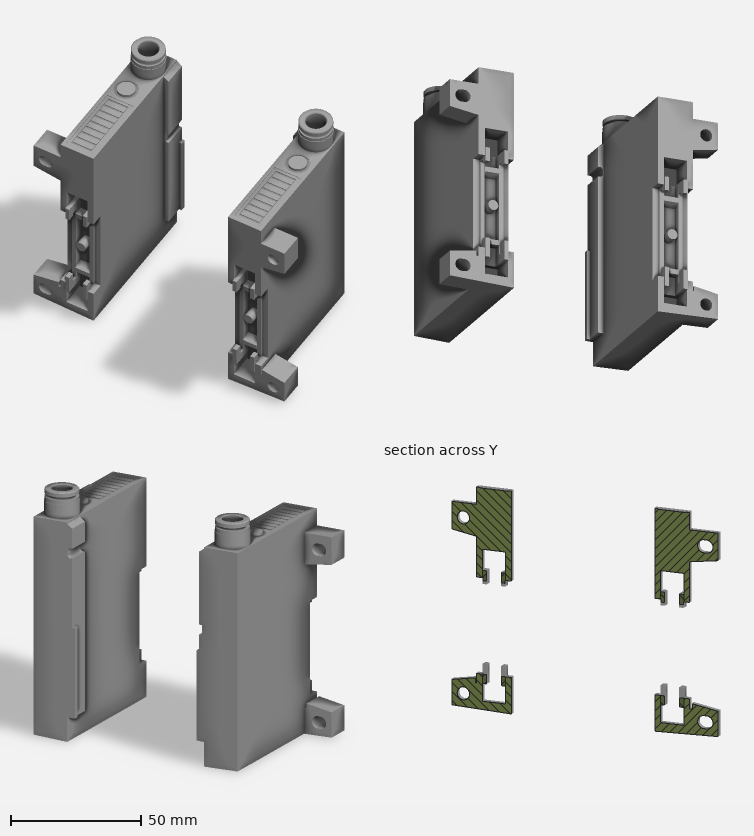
import cadquery as cq

overall_width = 112.5
left_ear_length = 12.1
right_ear_length = 10.5

housing_width = 14.8
housing_depth = 62.0
housing_height = 88.9
half_width = housing_width / 2
bottom_rise = 0.85

ear_depth = 10.0
ear_hole_diameter = 5.0
left_hole_from_tip = 5.5
right_hole_from_tip = 5.0
ear_hole_spacing = 70.0
lower_hole_z = 6.05
slotted_hole_length = 6.3
upper_ear_top = 82.0
upper_ear_tip_bottom = 70.9
upper_ear_root_bottom = 69.1
lower_ear_tip_top = 11.1
lower_ear_root_top = 12.9
ear_relief_bottom = 10.8
left_relief_width = 1.0
right_relief_width = 0.4

flange_width = 2.2
flange_depth = 9.9
flange_bottom = 10.0
flange_top = 88.4
flange_shoulder = 86.8
lip_width = 1.2
lip_depth = 2.1
lip_top = 46.6
notch_height = 4.0
square_notch_depth = 1.3
round_notch_depth = 2.05
round_notch_corner = 1.2
square_notch_z = 55.2
round_notch_z = 76.6

recess_bottom = 14.7
recess_top = 52.9
recess_depth = 5.25
channel_width = 9.6
channel_bottom = 3.9
channel_top = 64.2
channel_depth = 10.0

clip_bottom = 10.8
clip_top = 56.0
clip_floor = 2.4
clip_wall = 1.75
clip_overhang = 0.8
clip_rail_face = 4.25
hook_back = 2.0
upper_hook_tip = 50.4
upper_hook_root = 51.7
lower_hook_tip = 18.65
bar_offset = 14.25
bar_height = 3.25
bar_face_height = 2.05
bar_projection = 0.4
pin_diameter = 4.1
pin_z = 34.1
pin_tip_depth = 2.8

fitting_from_back = 9.0
button_from_back = 23.9
button_offset = 0.9
button_diameter = 7.25
button_height = 0.9
button_ring_diameter = 9.7
button_ring_depth = 0.2
panel_from_back = 45.05
panel_width, panel_length = 11.8, 30.3
panel_depth = 0.2
window_width, window_length = 9.1, 27.8
window_depth = 0.5
key_count = 8
key_pitch = 3.36
key_width, key_length = 8.6, 2.5

fitting_top = 99.3
fitting_bore_diameter = 8.2
fitting_rim_chamfer = 0.35
fitting_radii_and_tops = (
    (6.9, 94.5),
    (6.7, 96.2),
    (5.0, 97.4),
    (6.7, fitting_top),
)


def box(x_range, y_range, z_range):
    """Axis-aligned block between the given limits."""
    size = [high - low for low, high in (x_range, y_range, z_range)]
    corner = (x_range[0], y_range[0], z_range[0])
    return cq.Workplane("XY").box(*size, centered=False).translate(corner)


def front_prism(points, depth):
    """Extrude an XZ outline from the housing front toward the back."""
    return cq.Workplane("XZ").polyline(points).close().extrude(-depth)


def on_top(x, from_back, z=housing_height):
    """Sketch plane at a spot on or parallel to the top face."""
    return cq.Workplane("XY").workplane(offset=z).center(x, housing_depth - from_back)


def housing_block(ear_length):
    """Main block, rectangular except for its sloping bottom."""
    side_rise = bottom_rise * housing_width / (housing_width + ear_length)
    return front_prism(
        [
            (half_width, 0),
            (half_width, housing_height),
            (-half_width, housing_height),
            (-half_width, side_rise),
        ],
        housing_depth,
    )


def ears(ear_length, hole_from_tip, hole_length, relief_width):
    """Upper and lower ears with through holes; the lower one has a relief slit at its root."""
    root = -half_width
    tip = root - ear_length
    relief = root - relief_width
    side_rise = bottom_rise * housing_width / (housing_width + ear_length)
    upper = front_prism(
        [
            (root, upper_ear_top),
            (tip, upper_ear_top),
            (tip, upper_ear_tip_bottom),
            (root, upper_ear_root_bottom),
        ],
        ear_depth,
    )
    lower = front_prism(
        [
            (root, side_rise),
            (root, ear_relief_bottom),
            (relief, ear_relief_bottom),
            (relief, lower_ear_root_top),
            (tip, lower_ear_tip_top),
            (tip, bottom_rise),
        ],
        ear_depth,
    )
    hole_x = tip + hole_from_tip
    holes = cq.Workplane("XZ").pushPoints(
        [(hole_x, lower_hole_z), (hole_x, lower_hole_z + ear_hole_spacing)]
    )
    if hole_length > ear_hole_diameter:
        holes = holes.slot2D(hole_length, ear_hole_diameter)
    else:
        holes = holes.circle(ear_hole_diameter / 2)
    return upper.union(lower).cut(holes.extrude(-ear_depth))


def edge_notch(depth, middle_z):
    """Cutter for a notch across the edge of the flange."""
    edge = half_width + flange_width
    z_range = (middle_z - notch_height / 2, middle_z + notch_height / 2)
    return box((edge - depth, edge), (0, housing_depth), z_range)


def side_flange(notch):
    """Flange along the rear of the +X side, with a sloping top and a lip on its back edge."""
    edge = half_width + flange_width
    flange = front_prism(
        [
            (half_width, flange_bottom),
            (edge, flange_bottom),
            (edge, flange_shoulder),
            (half_width, flange_top),
        ],
        flange_depth,
    ).translate((0, housing_depth - flange_depth, 0))
    lip = box(
        (edge, edge + lip_width),
        (housing_depth - lip_depth, housing_depth),
        (flange_bottom, lip_top),
    )
    return flange.cut(notch).union(lip)


def front_cavities():
    """Full-width rail recess and the deeper channel that holds the clip."""
    recess = box((-half_width, half_width), (0, recess_depth), (recess_bottom, recess_top))
    channel = box(
        (-channel_width / 2, channel_width / 2),
        (0, channel_depth),
        (channel_bottom, channel_top),
    )
    return recess.union(channel)


def with_button(housing):
    """Round button standing in a shallow ring."""
    ring = on_top(-button_offset, button_from_back).circle(button_ring_diameter / 2)
    housing = housing.cut(ring.extrude(-button_ring_depth))
    base = on_top(-button_offset, button_from_back, housing_height - button_ring_depth)
    button = base.circle(button_diameter / 2).extrude(button_ring_depth + button_height)
    return housing.union(button)


def with_display_panel(housing):
    """Framed window with a row of bars rising to the panel face."""
    panel = on_top(0, panel_from_back).rect(panel_width, panel_length).extrude(-panel_depth)
    window = on_top(0, panel_from_back).rect(window_width, window_length).extrude(-window_depth)
    keys = (
        on_top(0, panel_from_back, housing_height - window_depth)
        .rarray(key_pitch, key_pitch, 1, key_count)
        .rect(key_width, key_length)
        .extrude(window_depth - panel_depth)
    )
    return housing.cut(panel).cut(window).union(keys)


def make_housing(ear_length, hole_from_tip, hole_length, relief_width, notch):
    """Complete housing with its ears, flange, cavities and top-face features."""
    housing = housing_block(ear_length).cut(front_cavities())
    housing = housing.union(ears(ear_length, hole_from_tip, hole_length, relief_width))
    housing = housing.union(side_flange(notch))
    housing = with_button(housing)
    return with_display_panel(housing)


def make_clip():
    """U-shaped clip: hooked side walls on a web, two cross bars and a central pin."""
    half_clip = channel_width / 2
    half_gap = half_clip - clip_wall
    wall_outline = [
        (channel_depth, clip_bottom),
        (-clip_overhang, clip_bottom),
        (-clip_overhang, lower_hook_tip),
        (hook_back, lower_hook_tip),
        (hook_back, recess_bottom),
        (clip_rail_face, recess_bottom),
        (clip_rail_face, upper_hook_root),
        (hook_back, upper_hook_root),
        (hook_back, upper_hook_tip),
        (-clip_overhang, upper_hook_tip),
        (-clip_overhang, clip_top),
        (channel_depth, clip_top),
    ]
    walls = cq.Workplane("YZ").polyline(wall_outline).close().extrude(half_clip, both=True)
    web_front = channel_depth - clip_floor
    gap = box((-half_gap, half_gap), (-clip_overhang, web_front), (clip_bottom, clip_top))
    clip = walls.cut(gap)

    bar_front = clip_rail_face - bar_projection
    for side in (-1, 1):
        outer_z = pin_z + side * (bar_offset + bar_height / 2)
        face_z = outer_z - side * bar_face_height
        inner_z = outer_z - side * bar_height
        bar = (
            cq.Workplane("YZ")
            .polyline([(web_front, outer_z), (bar_front, outer_z), (bar_front, face_z), (web_front, inner_z)])
            .close()
            .extrude(half_gap, both=True)
        )
        clip = clip.union(bar)

    pin = (
        cq.Workplane("XZ", origin=(0, pin_tip_depth, pin_z))
        .circle(pin_diameter / 2)
        .extrude(pin_tip_depth - web_front)
    )
    return clip.union(pin)


def make_fitting():
    """Stepped tube standing on the housing top, bored through, with both rim edges chamfered."""
    bottom = housing_height
    fitting = None
    for radius, top in fitting_radii_and_tops:
        step = on_top(0, fitting_from_back, bottom).circle(radius).extrude(top - bottom)
        fitting = step if fitting is None else fitting.union(step)
        bottom = top
    bore = on_top(0, fitting_from_back).circle(fitting_bore_diameter / 2)
    fitting = fitting.cut(bore.extrude(fitting_top - housing_height))
    return fitting.faces(">Z").edges().chamfer(fitting_rim_chamfer)


left_centre = -overall_width / 2 + left_ear_length + half_width
right_centre = overall_width / 2 - right_ear_length - half_width

square_notch = edge_notch(square_notch_depth, square_notch_z)
round_notch = edge_notch(round_notch_depth, round_notch_z).edges("|Y and <X").fillet(round_notch_corner)

left_housing = make_housing(
    left_ear_length, left_hole_from_tip, slotted_hole_length, left_relief_width, square_notch
)
right_housing = make_housing(
    right_ear_length, right_hole_from_tip, ear_hole_diameter, right_relief_width, round_notch
)

bodies = []
for body in (left_housing, make_clip(), make_fitting()):
    bodies.append(body.translate((left_centre, 0, 0)).val())
for body in (right_housing, make_clip(), make_fitting()):
    bodies.append(body.mirror("YZ").translate((right_centre, 0, 0)).val())

result = cq.Compound.makeCompound(bodies)